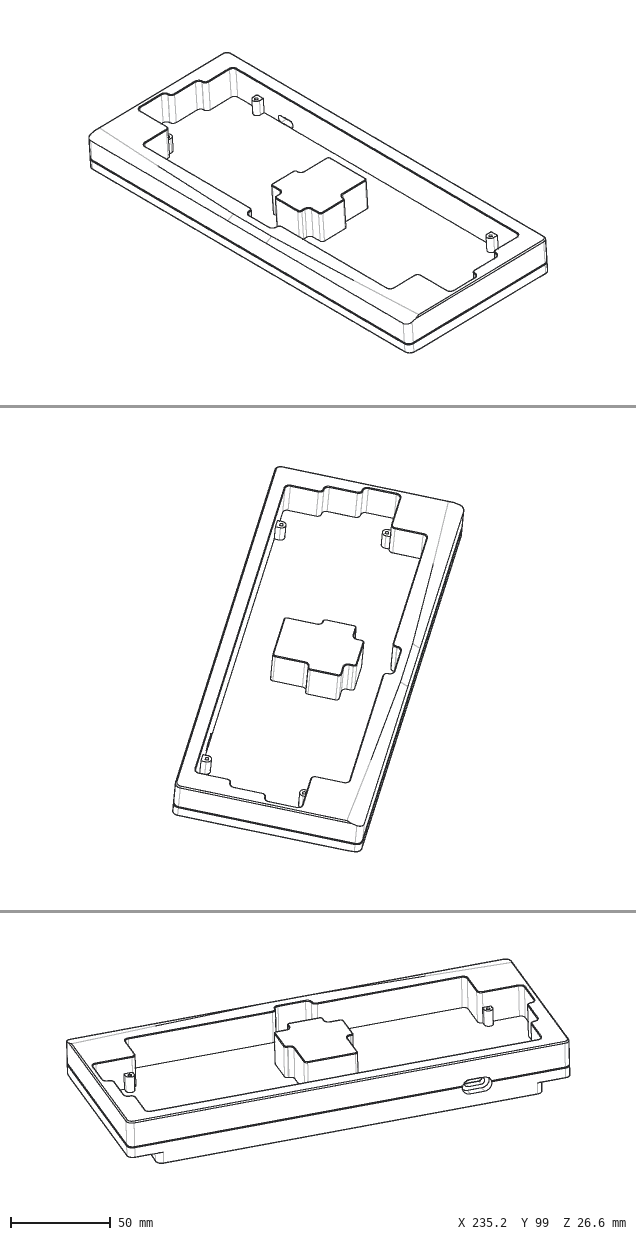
import math

import cadquery as cq


WIDTH = 235.2
DEPTH = 97.5
BOTTOM_HEIGHT = -0.5
TOP_HEIGHT = 19.9
TILT_ANGLE = 4.0
CORNER_RADIUS = 3.2
TOP_CHAMFER = 0.7
OVERALL_DEPTH = 99.0
BASE_DROP = DEPTH * math.tan(math.radians(TILT_ANGLE))

OVERCUT = 5.0

FOOT_INSET = 15.0

SEAM_HEIGHT = 5.0
SEAM_WIDTH = 0.5
SEAM_DEPTH = 0.3

BEVEL_EDGE_HEIGHT = 17.75
BEVEL_MIDDLE_DEPTH = 4.0
BEVEL_END_DEPTH = 8.6
BEVEL_MIDDLE_HALF_WIDTH = 14.0

KEY_PITCH = 19.05
QUARTER_KEY = KEY_PITCH / 4
WIDE_KEY = KEY_PITCH + QUARTER_KEY
WELL_FLOOR = 2.2
WELL_REAR = 89.7
WELL_ROW_2 = WELL_REAR - KEY_PITCH
WELL_ROW_3 = WELL_ROW_2 - KEY_PITCH
WELL_ROW_4 = WELL_ROW_3 - KEY_PITCH
WELL_FRONT = WELL_ROW_4 - KEY_PITCH
WELL_NOTCH_FRONT = WELL_FRONT - QUARTER_KEY
WELL_HALF_WIDTH = 114.6
WELL_ROW_2_HALF_WIDTH = WELL_HALF_WIDTH - QUARTER_KEY
WELL_REAR_HALF_WIDTH = WELL_ROW_2_HALF_WIDTH - QUARTER_KEY
WELL_FRONT_HALF_WIDTH = WELL_HALF_WIDTH - WIDE_KEY
NOTCH_HALF_WIDTH = 9.6
WELL_RADIUS = 2.3
RIM_CHAMFER = 0.4

ISLAND_GAP = 0.6
ISLAND_FRONT_GAP = 1.2
ISLAND_REAR = WELL_ROW_2 - ISLAND_GAP
ISLAND_SHOULDER = WELL_ROW_3 - ISLAND_GAP
ISLAND_FRONT = WELL_ROW_4 + ISLAND_FRONT_GAP
ISLAND_TAB_FRONT = WELL_ROW_4 - QUARTER_KEY
ISLAND_REAR_HALF_WIDTH = 14.2
ISLAND_HALF_WIDTH = 18.35
ISLAND_TAB_HALF_WIDTH = 9.4
ISLAND_OUTER_RADIUS = 1.5
ISLAND_INNER_RADIUS = 2.3

POST_DIAMETER = 4.6
POST_HEIGHT = 8.8
SCREW_HOLE_DIAMETER = 1.7
SCREW_HOLE_DEPTH = 8.0
REAR_POST_X = 85.7
REAR_POST_Y = 87.1
FRONT_POST_X = 95.25
FRONT_POST_Y = 34.8

PORT_X = -67.5
PORT_RISE = 2.2
PORT_CENTRE_HEIGHT = WELL_FLOOR + PORT_RISE
PORT_WIDTH = 10.7
PORT_HEIGHT = 4.0
PORT_RECESS_WIDTH = 15.6
PORT_RECESS_HEIGHT = 8.0
PORT_RECESS_DEPTH = 4.0


def mirrored_outline(right_side):
    """Close a right-hand chain of points with its mirror image across X = 0."""
    left_side = [(-x, y) for x, y in reversed(right_side)]
    return cq.Workplane("XY").polyline(right_side + left_side).close()


def make_rounded_block(width, depth, radius, bottom, top):
    """Block with rounded upright edges, centred on the case, between two heights."""
    block = cq.Workplane("XY").box(width, depth, top - bottom, centered=(True, True, False))
    return block.edges("|Z").fillet(radius).translate((0, DEPTH / 2, bottom))


def make_seam():
    seam_top = SEAM_HEIGHT + SEAM_WIDTH
    outside = make_rounded_block(WIDTH, DEPTH, CORNER_RADIUS, SEAM_HEIGHT, seam_top)
    core_width = WIDTH - 2 * SEAM_DEPTH
    core_depth = DEPTH - 2 * SEAM_DEPTH
    core_radius = CORNER_RADIUS - SEAM_DEPTH
    return outside.cut(make_rounded_block(core_width, core_depth, core_radius, SEAM_HEIGHT, seam_top))


def make_foot():
    """Block under the case that is later cut flat into a wedge."""
    foot_width = WIDTH - 2 * FOOT_INSET
    return make_rounded_block(foot_width, DEPTH, CORNER_RADIUS, -BASE_DROP - OVERCUT, 0)


def bevel_section(x, bevel_depth):
    """Triangle removed from the front edge at one place along the width."""
    slope = (TOP_HEIGHT - BEVEL_EDGE_HEIGHT) / bevel_depth
    rise = OVERCUT * slope
    profile = [
        (x, -OVERCUT, BEVEL_EDGE_HEIGHT - rise),
        (x, bevel_depth + OVERCUT, TOP_HEIGHT + rise),
        (x, -OVERCUT, TOP_HEIGHT + rise),
    ]
    return cq.Wire.makePolygon([cq.Vector(*point) for point in profile], close=True)


def make_front_bevel():
    """Flat bevel in the middle that twists out to a deeper one at each end."""
    middle = bevel_section(BEVEL_MIDDLE_HALF_WIDTH, BEVEL_MIDDLE_DEPTH)
    opposite = bevel_section(-BEVEL_MIDDLE_HALF_WIDTH, BEVEL_MIDDLE_DEPTH)
    bevel = cq.Workplane(cq.Solid.makeLoft([opposite, middle], True))
    for side, inner in ((-1, opposite), (1, middle)):
        outer = bevel_section(side * WIDTH / 2, BEVEL_END_DEPTH)
        bevel = bevel.union(cq.Workplane(cq.Solid.makeLoft([inner, outer], True)))
    return bevel


def make_well():
    right_side = [
        (NOTCH_HALF_WIDTH, WELL_NOTCH_FRONT),
        (NOTCH_HALF_WIDTH, WELL_FRONT),
        (WELL_FRONT_HALF_WIDTH, WELL_FRONT),
        (WELL_FRONT_HALF_WIDTH, WELL_ROW_4),
        (WELL_HALF_WIDTH, WELL_ROW_4),
        (WELL_HALF_WIDTH, WELL_ROW_3),
        (WELL_ROW_2_HALF_WIDTH, WELL_ROW_3),
        (WELL_ROW_2_HALF_WIDTH, WELL_ROW_2),
        (WELL_REAR_HALF_WIDTH, WELL_ROW_2),
        (WELL_REAR_HALF_WIDTH, WELL_REAR),
    ]
    well = mirrored_outline(right_side).extrude(TOP_HEIGHT - WELL_FLOOR)
    well = well.edges("|Z").fillet(WELL_RADIUS)
    return well.translate((0, 0, WELL_FLOOR))


def chamfer_well_rim(body):
    """Chamfer the inner outline of the top face."""
    top_face = body.faces(">Z").val()
    rim_edges = [edge for wire in top_face.innerWires() for edge in wire.Edges()]
    return body.newObject(rim_edges).chamfer(RIM_CHAMFER)


def round_upright_edges(body, right_corners, radius):
    """Fillet the upright edges at the given corners and at their mirror images."""
    mid_height = (TOP_HEIGHT - WELL_FLOOR) / 2
    for x, y in right_corners:
        for side in (-1, 1):
            nearest = cq.selectors.NearestToPointSelector((side * x, y, mid_height))
            body = body.edges("|Z").edges(nearest).fillet(radius)
    return body


def make_island():
    right_side = [
        (ISLAND_TAB_HALF_WIDTH, ISLAND_TAB_FRONT),
        (ISLAND_TAB_HALF_WIDTH, ISLAND_FRONT),
        (ISLAND_HALF_WIDTH, ISLAND_FRONT),
        (ISLAND_HALF_WIDTH, ISLAND_SHOULDER),
        (ISLAND_REAR_HALF_WIDTH, ISLAND_SHOULDER),
        (ISLAND_REAR_HALF_WIDTH, ISLAND_REAR),
    ]
    inner_corners = [right_side[1], right_side[4]]
    outer_corners = [corner for corner in right_side if corner not in inner_corners]
    island = mirrored_outline(right_side).extrude(TOP_HEIGHT - WELL_FLOOR)
    island = round_upright_edges(island, inner_corners, ISLAND_INNER_RADIUS)
    island = round_upright_edges(island, outer_corners, ISLAND_OUTER_RADIUS)
    return island.faces(">Z").edges().chamfer(RIM_CHAMFER).translate((0, 0, WELL_FLOOR))


def make_post(x, y, wall_y):
    """Screw post joined to the well wall behind or in front of it by a web of its own width."""
    floor = cq.Workplane("XY", origin=(0, 0, WELL_FLOOR))
    post = floor.center(x, y).circle(POST_DIAMETER / 2).extrude(POST_HEIGHT)
    web = floor.center(x, (y + wall_y) / 2).rect(POST_DIAMETER, abs(wall_y - y)).extrude(POST_HEIGHT)
    hole_floor = cq.Workplane("XY", origin=(x, y, WELL_FLOOR + POST_HEIGHT - SCREW_HOLE_DEPTH))
    return post.union(web).cut(hole_floor.circle(SCREW_HOLE_DIAMETER / 2).extrude(SCREW_HOLE_DEPTH))


def add_posts(body):
    for side in (-1, 1):
        body = body.union(make_post(side * REAR_POST_X, REAR_POST_Y, WELL_REAR))
        body = body.union(make_post(side * FRONT_POST_X, FRONT_POST_Y, WELL_ROW_4))
    return body


def make_port():
    rear_face = cq.Workplane("XZ", origin=(PORT_X, DEPTH, PORT_CENTRE_HEIGHT))
    opening = rear_face.slot2D(PORT_WIDTH, PORT_HEIGHT).extrude(DEPTH - WELL_REAR)
    recess = rear_face.slot2D(PORT_RECESS_WIDTH, PORT_RECESS_HEIGHT).extrude(PORT_RECESS_DEPTH)
    return opening.union(recess)


def tilt_onto_base(body):
    """Tilt the case, cut it flat at Z = 0 and centre it along Y."""
    tilted = body.rotate((0, 0, 0), (1, 0, 0), TILT_ANGLE)
    below_base = cq.Workplane("XY").box(2 * WIDTH, 4 * DEPTH, DEPTH, centered=(True, True, False))
    tilted = tilted.cut(below_base.translate((0, 0, -DEPTH)))
    rear_edge = DEPTH / math.cos(math.radians(TILT_ANGLE))
    return tilted.translate((0, OVERALL_DEPTH / 2 - rear_edge, 0))


body = make_rounded_block(WIDTH, DEPTH, CORNER_RADIUS, BOTTOM_HEIGHT, TOP_HEIGHT)
body = body.faces(">Z").edges().chamfer(TOP_CHAMFER)
body = body.cut(make_seam()).cut(make_front_bevel())
body = body.cut(make_well())
body = chamfer_well_rim(body).union(make_island())
body = add_posts(body).cut(make_port()).union(make_foot())
result = tilt_onto_base(body)